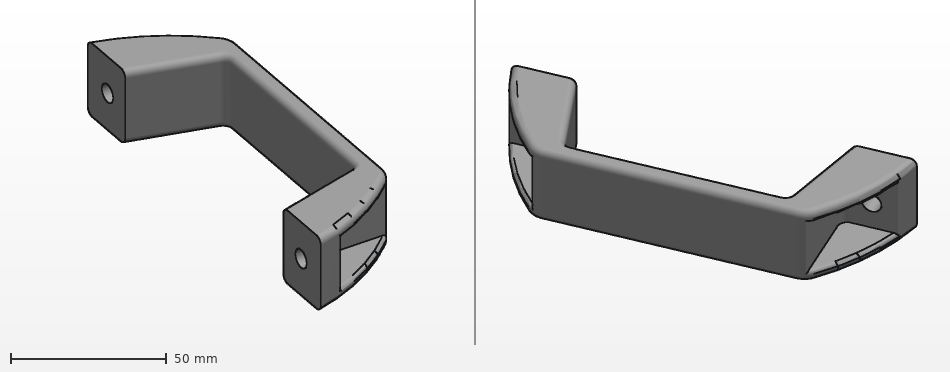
import cadquery as cq
import math

LENGTH = 140.0
HEIGHT = 40.0
WIDTH = 28.0

GRIP_THICKNESS = 7.0
FOOT_LENGTH = 22.5
INNER_LEG_TILT = 15.0
SHOULDER_INSET = 23.0
OUTER_LEG_RADIUS = 84.0
OUTER_CORNER_RADIUS = 7.7
INNER_CORNER_RADIUS = 3.0
RIM_RADIUS = 2.5

HOLE_DIAMETER = 6.7
HOLE_INSET = 11.9
POCKET_FLOOR = 9.5
POCKET_WIDTH = 19.6
POCKET_WALL_INSET = 22.4
POCKET_FLOOR_RADIUS = 3.4
POCKET_RIM_RADIUS = 1.3

HALF_LENGTH = LENGTH / 2
SIDES = (-1, 1)
SELECTION_MARGIN = 0.1


def make_bow():
    """Solid bow with rounded corners and rounded rims on both flat faces."""
    shoulder_x = HALF_LENGTH - SHOULDER_INSET
    inner_foot_x = HALF_LENGTH - FOOT_LENGTH
    underside = HEIGHT - GRIP_THICKNESS
    inner_corner_x = inner_foot_x - underside * math.tan(math.radians(INNER_LEG_TILT))

    bow = (
        cq.Workplane("XY")
        .workplane(offset=-WIDTH / 2)
        .moveTo(-HALF_LENGTH, 0)
        .radiusArc((-shoulder_x, HEIGHT), OUTER_LEG_RADIUS)
        .lineTo(shoulder_x, HEIGHT)
        .radiusArc((HALF_LENGTH, 0), OUTER_LEG_RADIUS)
        .lineTo(inner_foot_x, 0)
        .lineTo(inner_corner_x, underside)
        .lineTo(-inner_corner_x, underside)
        .lineTo(-inner_foot_x, 0)
        .close()
        .extrude(WIDTH)
    )
    bow = bow.edges("|Z").edges(">Y").fillet(OUTER_CORNER_RADIUS)
    inner_corners = cq.selectors.BoxSelector(
        (-inner_corner_x - SELECTION_MARGIN, underside - SELECTION_MARGIN, -WIDTH),
        (inner_corner_x + SELECTION_MARGIN, underside + SELECTION_MARGIN, WIDTH),
    )
    bow = bow.edges("|Z").edges(inner_corners).fillet(INNER_CORNER_RADIUS)

    return bow.faces("|Z").edges("not(<Y)").fillet(RIM_RADIUS)


def make_pocket(side):
    """Pocket cutter, open outward and upward, with a rounded corner at its floor."""
    wall_x = HALF_LENGTH - POCKET_WALL_INSET
    pocket = (
        cq.Workplane("XY")
        .box(HALF_LENGTH, HEIGHT, POCKET_WIDTH, centered=(False, False, True))
        .translate((wall_x, POCKET_FLOOR, 0))
        .edges("|Z and <X and <Y")
        .fillet(POCKET_FLOOR_RADIUS)
    )
    return pocket if side > 0 else pocket.mirror("YZ")


def round_pocket_rim(body, side):
    """Round the edges where one pocket opens through the curved outer faces."""
    wall_x = HALF_LENGTH - POCKET_WALL_INSET
    half_opening = POCKET_WIDTH / 2 + SELECTION_MARGIN
    x_limits = sorted(
        (side * (wall_x - SELECTION_MARGIN), side * (HALF_LENGTH + SELECTION_MARGIN))
    )
    opening = cq.selectors.BoxSelector(
        (x_limits[0], 0, -half_opening),
        (x_limits[1], HEIGHT + SELECTION_MARGIN, half_opening),
        boundingbox=True,
    )
    outer_faces = body.faces("%CYLINDER").filter(
        lambda face: face.BoundingBox().zlen > POCKET_WIDTH + SELECTION_MARGIN
    )
    rim = outer_faces.edges(opening)
    return rim.fillet(POCKET_RIM_RADIUS)


def make_hole(side):
    """Screw hole running along Y through the foot into the pocket."""
    hole_x = side * (HALF_LENGTH - HOLE_INSET)
    return (
        cq.Workplane("XZ", origin=(hole_x, 0, 0))
        .circle(HOLE_DIAMETER / 2)
        .extrude(-HEIGHT)
    )


result = make_bow()
for side in SIDES:
    result = result.cut(make_pocket(side))
    result = round_pocket_rim(result, side)
    result = result.cut(make_hole(side))